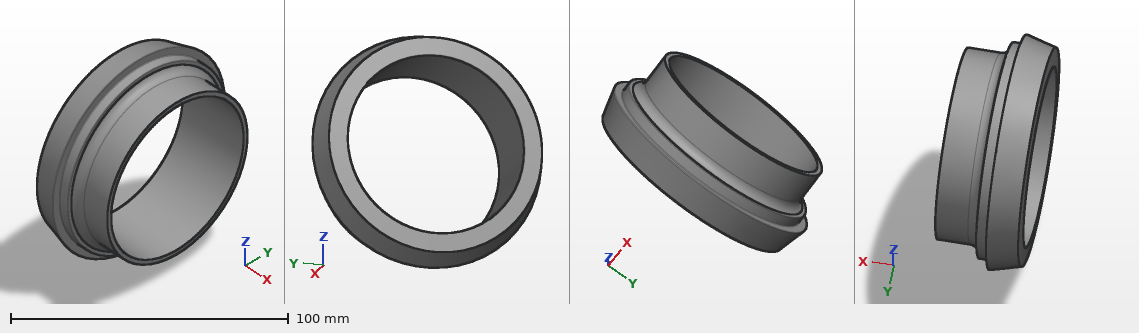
import cadquery as cq
import math

total_length = 32.0
flange_end = 12.0
collar_end = 16.2
neck_end = 20.0

bore_diameter = 66.0
tube_diameter = 70.0
collar_diameter = 79.0
flange_diameter = 86.0

flank_angle = 15.0
face_angle = 5.0

neck_radius = 4.0
edge_radius = 0.2
bore_edge_radius = 0.3

bore_radius = bore_diameter / 2
tube_radius = tube_diameter / 2
collar_radius = collar_diameter / 2
flange_radius = flange_diameter / 2

face_tilt = math.radians(face_angle)
corner_x = -bore_edge_radius * (math.tan(face_tilt) + 1 / math.cos(face_tilt) - 1)

flank_slope = math.tan(math.radians(flank_angle))
face_slope = math.tan(face_tilt)
face_depth = (
    (corner_x + face_slope * (flange_radius - bore_radius - flank_slope * flange_end))
    / (1 - face_slope * flank_slope)
)
face_radius = flange_radius - flank_slope * (flange_end - face_depth)


def half_section():
    """Wall section of the ring in XY: X along the axis, Y as the radius."""
    neck_center_radius = tube_radius + neck_radius
    neck_sweep = math.asin((neck_end - collar_end) / neck_radius)

    def neck_point(angle):
        """Point of the concave neck, turned by an angle from its end on the tube."""
        return (
            neck_end - neck_radius * math.sin(angle),
            neck_center_radius - neck_radius * math.cos(angle),
        )

    return (
        cq.Workplane("XY")
        .moveTo(corner_x, bore_radius)
        .lineTo(face_depth, face_radius)
        .lineTo(flange_end, flange_radius)
        .lineTo(flange_end, collar_radius)
        .lineTo(collar_end, collar_radius)
        .lineTo(*neck_point(neck_sweep))
        .threePointArc(neck_point(neck_sweep / 2), neck_point(0))
        .lineTo(total_length, tube_radius)
        .lineTo(total_length, bore_radius)
        .close()
    )


def round_edges(body):
    """Round the circular edges at the bore mouth, end face, rim and both ends of the collar."""
    reach = 0.01
    circles = (
        (corner_x, bore_radius, bore_edge_radius),
        (face_depth, face_radius, edge_radius),
        (flange_end, flange_radius, edge_radius),
        (flange_end, collar_radius, edge_radius),
        (collar_end, collar_radius, edge_radius),
    )
    for x, radius, fillet_radius in circles:
        edge_box = cq.selectors.BoxSelector(
            (x - reach, -radius - reach, -radius - reach),
            (x + reach, radius + reach, radius + reach),
            boundingbox=True,
        )
        longest = cq.selectors.LengthNthSelector(-1)
        body = body.edges(edge_box).edges(longest).fillet(fillet_radius)
    return body


axis_start = (0, 0, 0)
axis_end = (1, 0, 0)
ring = half_section().revolve(360, axis_start, axis_end)
result = round_edges(ring)